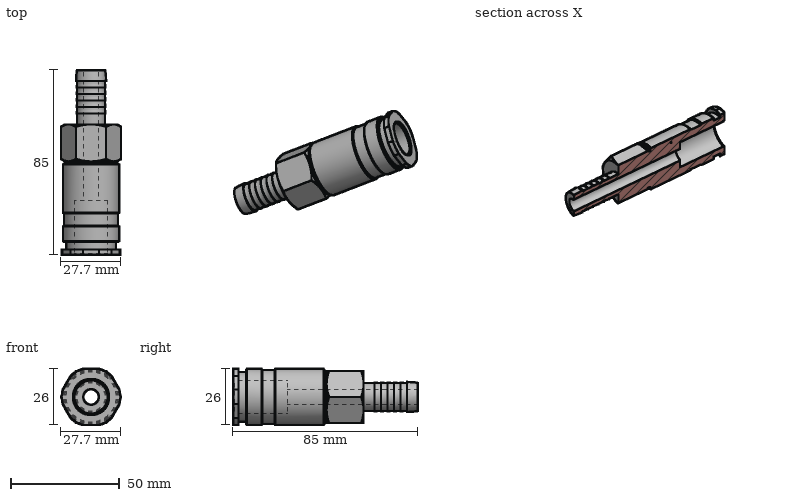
import cadquery as cq
import math


COLLAR_DIAMETER = 27.0
COLLAR_ACROSS_FLATS = 26.0
COLLAR_LENGTH = 2.5

SLEEVE_DIAMETER = 26.0
GROOVE_DIAMETER = 25.0
NECK_DIAMETER = 23.0
EDGE_CHAMFER = 0.5
SLEEVE_START = 6.0
GROOVE_START = 13.5
GROOVE_END = 19.0
SLEEVE_END = 42.0

HEX_ACROSS_FLATS = 24.0
HEX_START = 43.0
HEX_END = 60.0
HEX_CHAMFER_ANGLE = 30.0
HEX_FACE_DIAMETER = HEX_ACROSS_FLATS
HEX_ENVELOPE_MARGIN = 1.0

NOZZLE_DIAMETER = 13.0
TOOTH_CREST_DIAMETER = 13.4
TOOTH_COUNT = 5
TOOTH_PITCH = 3.0
TEETH_START = 65.0
HEAD_DIAMETER = 14.0
TOTAL_LENGTH = 85.0

SOCKET_DIAMETER = 15.3
SOCKET_DEPTH = 25.0
SOCKET_MOUTH_DIAMETER = 16.7
BORE_DIAMETER = 7.0

teeth_end = TEETH_START + TOOTH_COUNT * TOOTH_PITCH


def revolve_about_y(profile):
    """Turn a closed (radius, station) profile a full revolution about the Y axis."""
    return profile.close().revolve(360, (0, 0, 0), (0, 1, 0))


def across_corners(across_flats):
    """Corner-to-corner width of a regular hexagon."""
    return 2 * across_flats / math.sqrt(3)


def hexagon_prism(across_flats, start, end):
    """Hexagonal prism along Y with flats facing +Z and -Z."""
    plane = cq.Workplane("XZ", origin=(0, start, 0))
    return plane.polygon(6, across_corners(across_flats)).extrude(start - end)


def cylinder(diameter, start, end):
    """Solid cylinder along Y between two stations."""
    return cq.Workplane("XZ", origin=(0, start, 0)).circle(diameter / 2).extrude(start - end)


def make_collar():
    """Round collar trimmed by six wrench flats."""
    disc = cylinder(COLLAR_DIAMETER, 0, COLLAR_LENGTH)
    return disc.intersect(hexagon_prism(COLLAR_ACROSS_FLATS, 0, COLLAR_LENGTH))


def make_sleeve():
    """Neck running under two chamfered bands with a grip groove between them."""
    neck = cylinder(NECK_DIAMETER, COLLAR_LENGTH, HEX_START)
    groove_core = cylinder(GROOVE_DIAMETER, GROOVE_START, GROOVE_END)
    sleeve = neck.union(groove_core)
    for start, end in ((SLEEVE_START, GROOVE_START), (GROOVE_END, SLEEVE_END)):
        band = cylinder(SLEEVE_DIAMETER, start, end).edges("%CIRCLE").chamfer(EDGE_CHAMFER)
        sleeve = sleeve.union(band)
    return sleeve


def make_hex():
    """Hexagonal body with conically chamfered corners at both ends."""
    face_radius = HEX_FACE_DIAMETER / 2
    corner_radius = across_corners(HEX_ACROSS_FLATS) / 2
    envelope_radius = corner_radius + HEX_ENVELOPE_MARGIN
    chamfer_length = (envelope_radius - face_radius) * math.tan(math.radians(HEX_CHAMFER_ANGLE))
    envelope = revolve_about_y(
        cq.Workplane("XY")
        .moveTo(0, HEX_START)
        .lineTo(face_radius, HEX_START)
        .lineTo(envelope_radius, HEX_START + chamfer_length)
        .lineTo(envelope_radius, HEX_END - chamfer_length)
        .lineTo(face_radius, HEX_END)
        .lineTo(0, HEX_END)
    )
    return hexagon_prism(HEX_ACROSS_FLATS, HEX_START, HEX_END).intersect(envelope)


def make_nozzle():
    """Hose nozzle with shallow ridges and a crowned head at the tip."""
    nozzle_radius = NOZZLE_DIAMETER / 2
    crest_radius = TOOTH_CREST_DIAMETER / 2
    head_radius = HEAD_DIAMETER / 2
    head_length = TOTAL_LENGTH - teeth_end
    profile = cq.Workplane("XY").moveTo(0, HEX_END).lineTo(nozzle_radius, HEX_END)
    profile = profile.lineTo(nozzle_radius, TEETH_START)
    for tooth in range(TOOTH_COUNT):
        tooth_start = TEETH_START + tooth * TOOTH_PITCH
        profile = profile.lineTo(crest_radius, tooth_start)
        profile = profile.lineTo(nozzle_radius, tooth_start + TOOTH_PITCH / 2)
        profile = profile.lineTo(nozzle_radius, tooth_start + TOOTH_PITCH)
    crown_drop = head_radius - nozzle_radius
    crown_radius = (head_length**2 + crown_drop**2) / (2 * crown_drop)
    profile = profile.lineTo(head_radius, teeth_end)
    profile = profile.radiusArc((nozzle_radius, TOTAL_LENGTH), -crown_radius)
    return revolve_about_y(profile.lineTo(0, TOTAL_LENGTH))


def make_bore():
    """Countersunk socket stepping down to a through bore."""
    mouth_radius = SOCKET_MOUTH_DIAMETER / 2
    socket_radius = SOCKET_DIAMETER / 2
    bore_radius = BORE_DIAMETER / 2
    return revolve_about_y(
        cq.Workplane("XY")
        .lineTo(mouth_radius, 0)
        .lineTo(socket_radius, mouth_radius - socket_radius)
        .lineTo(socket_radius, SOCKET_DEPTH)
        .lineTo(bore_radius, SOCKET_DEPTH)
        .lineTo(bore_radius, TOTAL_LENGTH)
        .lineTo(0, TOTAL_LENGTH)
    )


body = make_collar().union(make_sleeve()).union(make_hex()).union(make_nozzle())
result = body.cut(make_bore())